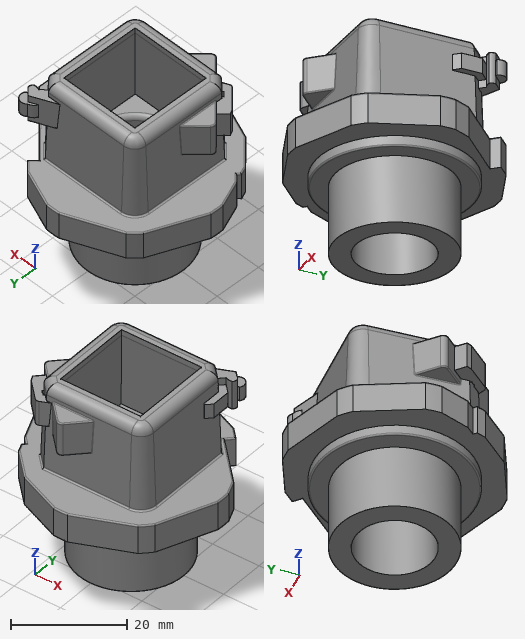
import cadquery as cq
import math

total_height = 38.7
spigot_radius = 11.4
spigot_height = 13.0
collar_radius = 14.9
collar_height = 2.0
collar_round = 0.28

flange_bottom = spigot_height + collar_height
flange_thickness = 6.0
flange_top = flange_bottom + flange_thickness
flange_corner_radius = 20.0
flange_apothem = 19.0
flange_round = 0.28
hook_side_trim = 18.48
hook_side_relief = 16.48
hook_relief_start = 2.1
tab_side_trim = 17.48
tab_trim_start = 5.48

housing_half_width = 12.25
housing_corner_radius = 3.25
housing_corner_cut = 15.4
housing_taper = 2.0
housing_height = total_height - flange_top
housing_top_round = 2.0
housing_foot_round = 0.3

pocket_width = 17.25
pocket_lip = 1.2
pocket_floor = 22.0
bore_radius = 7.48
bore_mouth_round = 1.0

latch_middle = 32.9
hook_height = 6.0
hook_reach = 18.4
lip_height = 3.0
lip_reach = 19.9
stop_height = 3.0
stop_reach = 16.48
stop_start = 0.08
stop_end = -5.0
stop_side = 13.2
tab_height = 5.2
tab_reach = 16.7
tab_end = -5.48
tab_relief_reach = 15.25
tab_relief_start = -1.25
tab_relief_end = -0.08
wall_depth = 12.0
side_block_bottom = 28.9
side_block_height = 7.0
side_block_reach = 13.95
side_block_half_width = 8.9
side_block_corner_radius = 1.0
side_block_edge_round = 0.25
side_block_root_round = 0.15

hook_corner = 45
tab_corner = 225


def turned(body, angle):
    return body.rotate((0, 0, 0), (0, 0, 1), angle)


def block(x_start, x_end, y_start, y_end, bottom, height):
    return (
        cq.Workplane("XY", origin=(x_start, y_start, bottom))
        .box(x_end - x_start, y_end - y_start, height, centered=False)
    )


def make_flange():
    outer = 2 * flange_corner_radius
    across_corners = 2 * flange_apothem / math.cos(math.pi / 8)
    plane = cq.Workplane("XY", origin=(0, 0, flange_bottom))
    flange = plane.polygon(8, across_corners).extrude(flange_thickness)
    flange = flange.intersect(plane.circle(flange_corner_radius).extrude(flange_thickness))

    def trim(start, side_start, side_end, corner):
        cutter = block(start, outer, side_start, side_end, flange_bottom, flange_thickness)
        return turned(cutter, corner)

    flange = flange.cut(trim(hook_side_trim, -outer, outer, hook_corner))
    flange = flange.cut(trim(hook_side_relief, -outer, hook_relief_start, hook_corner))
    flange = flange.cut(trim(tab_side_trim, -outer, -tab_trim_start, tab_corner))
    flange = flange.cut(trim(flange_apothem, -outer, outer, tab_corner))
    return flange.faces(">Z").edges().fillet(flange_round)


def make_spigot():
    spigot = cq.Workplane("XY").circle(spigot_radius).extrude(flange_bottom)
    collar = (
        cq.Workplane("XY", origin=(0, 0, spigot_height))
        .circle(collar_radius)
        .extrude(collar_height)
        .faces("<Z").edges().fillet(collar_round)
    )
    return spigot.union(collar)


def make_housing():
    half = housing_half_width
    cut = housing_corner_cut * math.sqrt(2) - half
    straight = half - housing_corner_radius
    bend = straight + housing_corner_radius / math.sqrt(2)
    housing = (
        cq.Workplane("XY", origin=(0, 0, flange_top))
        .moveTo(half, -straight)
        .lineTo(half, cut)
        .lineTo(cut, half)
        .lineTo(-straight, half)
        .threePointArc((-bend, bend), (-half, straight))
        .lineTo(-half, -cut)
        .lineTo(-cut, -half)
        .lineTo(straight, -half)
        .threePointArc((bend, -bend), (half, -straight))
        .close()
        .extrude(housing_height, taper=housing_taper)
    )
    return housing.faces(">Z").edges().fillet(housing_top_round)


def add_side_blocks(housing):
    bar = block(0, side_block_reach, -side_block_half_width, side_block_half_width,
                side_block_bottom, side_block_height)
    bar = bar.edges("|Z and >X").fillet(side_block_corner_radius)
    bar = bar.faces("<Z or >Z").edges().fillet(side_block_edge_round)
    body = housing.union(turned(bar, tab_corner))

    low = side_block_bottom - 2 * side_block_root_round
    high = side_block_bottom + side_block_height + 2 * side_block_root_round
    span = side_block_half_width
    outside = -housing_half_width
    inside = outside + housing_height * math.tan(math.radians(housing_taper))
    roots = (
        cq.selectors.BoxSelector((outside, -span, low), (inside, span, high))
        + cq.selectors.BoxSelector((-span, outside, low), (span, inside, high))
    )
    return body.edges(roots).fillet(side_block_root_round)


def latch_plane(height):
    return cq.Workplane("XY", origin=(0, 0, latch_middle - height / 2))


def make_tab():
    arm_side = 2.48
    tab = (
        latch_plane(tab_height)
        .moveTo(wall_depth, tab_end)
        .lineTo(16.35, tab_end)
        .lineTo(tab_reach, -4.4)
        .lineTo(tab_reach, 0.88)
        .threePointArc((16.6, 1.3), (16.2, 1.68))
        .lineTo(14.08, arm_side)
        .lineTo(wall_depth, arm_side)
        .close()
        .extrude(tab_height)
    )
    relief = block(wall_depth, tab_relief_reach, tab_relief_start, tab_relief_end,
                   latch_middle - tab_height / 2, tab_height)
    return turned(tab.cut(relief), tab_corner)


def make_hook():
    hook = (
        latch_plane(hook_height)
        .moveTo(wall_depth, 4.05)
        .lineTo(hook_reach, 1.5)
        .lineTo(hook_reach, -0.48)
        .threePointArc((18, -0.95), (17.35, -1.08))
        .threePointArc((16.68, -0.35), (stop_reach, stop_start))
        .lineTo(wall_depth, stop_start)
        .close()
        .extrude(hook_height)
    )
    lip = (
        latch_plane(lip_height)
        .moveTo(stop_reach, 2.25)
        .threePointArc((17.6, 2.35), (18.48, 2.08))
        .threePointArc((lip_reach, 0.2), (18.68, -0.9))
        .lineTo(17.6, 0)
        .close()
        .extrude(lip_height)
    )
    return turned(hook.union(lip), hook_corner)


def make_stop():
    side_line = stop_side * math.sqrt(2)
    stop = (
        latch_plane(stop_height)
        .moveTo(wall_depth, stop_start)
        .lineTo(stop_reach, stop_start)
        .lineTo(stop_reach, stop_reach - side_line)
        .lineTo(side_line + stop_end, stop_end)
        .lineTo(wall_depth, stop_end)
        .close()
        .extrude(stop_height)
    )
    return turned(stop, hook_corner)


def make_opening():
    rim = cq.Workplane("XY", origin=(0, 0, total_height)).rect(pocket_width, pocket_width)
    pocket = rim.extrude(-pocket_lip)
    flare_height = total_height - pocket_lip - pocket_floor
    floor_width = pocket_width + 2 * flare_height * math.tan(math.radians(housing_taper))
    pocket = pocket.union(
        cq.Workplane("XY", origin=(0, 0, pocket_floor))
        .rect(floor_width, floor_width)
        .extrude(flare_height, taper=housing_taper)
    )
    mouth = pocket_floor - bore_mouth_round
    bore = (
        cq.Workplane("XZ")
        .lineTo(bore_radius, 0)
        .lineTo(bore_radius, mouth)
        .radiusArc((bore_radius + bore_mouth_round, pocket_floor), bore_mouth_round)
        .lineTo(0, pocket_floor)
        .close()
        .revolve(360, (0, 0, 0), (0, 1, 0))
    )
    return pocket.union(bore)


def make_body():
    body = make_flange().union(add_side_blocks(make_housing()))
    margin = 0.05
    reach = housing_half_width + margin
    foot = cq.selectors.BoxSelector(
        (-reach, -reach, flange_top - margin),
        (reach, reach, flange_top + margin),
    )
    return body.edges(foot).fillet(housing_foot_round).union(make_spigot())


result = make_body()
for feature in (make_tab(), make_hook(), make_stop()):
    result = result.union(feature)
result = result.cut(make_opening())